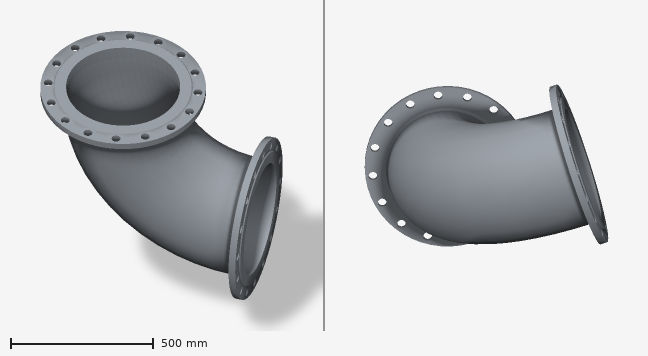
import cadquery as cq

overall_length = 790.0
flange_diameter = 580.0
center_to_face = overall_length - flange_diameter / 2

pipe_outer_diameter = 422.0
pipe_bore_diameter = 400.0
bend_radius = 449.0
straight_length = center_to_face - bend_radius

flange_thickness = 24.5
raised_face_height = 4.0
raised_face_diameter = 480.0
raised_face_chamfer = 4.0
hub_diameter = 434.5
hub_length = 14.0

bolt_count = 16
bolt_circle_diameter = 526.0
bolt_hole_diameter = 31.0


def make_bend(diameter):
    """Quarter torus from the vertical axis (top end) to the horizontal axis (+X end)."""
    return (
        cq.Workplane("XY", origin=(0, 0, bend_radius))
        .circle(diameter / 2)
        .revolve(90, (bend_radius, 0, 0), (bend_radius, -1, 0))
    )


def make_flanged_end():
    """Straight stub, tapered hub, drilled flange and raised face along +Z from the origin."""
    face = straight_length
    flange_front = face - raised_face_height
    flange_back = flange_front - flange_thickness
    hub_start = flange_back - hub_length
    pipe_radius = pipe_outer_diameter / 2
    flange_radius = flange_diameter / 2
    raised_radius = raised_face_diameter / 2
    bore_radius = pipe_bore_diameter / 2
    profile = [
        (bore_radius, 0),
        (pipe_radius, 0),
        (pipe_radius, hub_start),
        (hub_diameter / 2, flange_back),
        (flange_radius, flange_back),
        (flange_radius, flange_front),
        (raised_radius + raised_face_chamfer, flange_front),
        (raised_radius, face),
        (bore_radius, face),
    ]
    body = cq.Workplane("XZ").polyline(profile).close().revolve(360, (0, 0, 0), (0, 1, 0))
    bolt_holes = (
        cq.Workplane("XY", origin=(0, 0, flange_back))
        .polarArray(bolt_circle_diameter / 2, 180 / bolt_count, 360, bolt_count)
        .circle(bolt_hole_diameter / 2)
        .extrude(flange_thickness)
    )
    return body.cut(bolt_holes)


bend = make_bend(pipe_outer_diameter).cut(make_bend(pipe_bore_diameter))
flanged_end = make_flanged_end()
top_end = flanged_end.translate((0, 0, bend_radius))
side_end = flanged_end.rotate((0, 0, 0), (0, 1, 0), 90).translate((bend_radius, 0, 0))

result = bend.union(top_end).union(side_end)